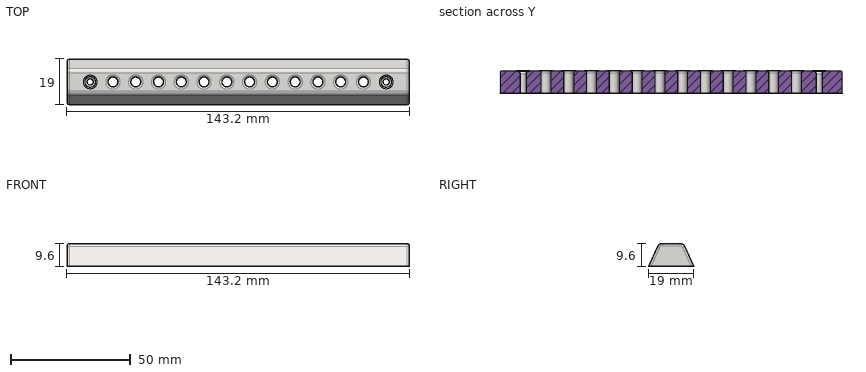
import cadquery as cq

length = 143.2
base_width = 19.0
height = 9.6
top_width = 10.3

top_edge_radius = 2.1
end_edge_radius = 1.0

hole_count = 14
hole_pitch = 9.53
hole_diameter = 4.0
rim_radius = 1.0

end_hole_diameter = 2.5
end_seat_diameter = end_hole_diameter + 2 * rim_radius
end_entry_diameter = 5.7
end_entry_depth = 0.36


def bar_body():
    """Trapezoidal bar with rounded top edges and rounded ends."""
    outline = [
        (-base_width / 2, 0),
        (base_width / 2, 0),
        (top_width / 2, height),
        (-top_width / 2, height),
    ]
    body = cq.Workplane("YZ").polyline(outline).close().extrude(length / 2, both=True)
    body = body.edges("|X and >Z").fillet(top_edge_radius)
    end_edges = body.faces("<X or >X").edges("not <Z")
    return end_edges.fillet(end_edge_radius)


def rimmed_hole(x, diameter, radius, rim_top):
    """Through-hole cutter whose wall rolls outward into a flat level at rim_top."""
    hole_radius = diameter / 2
    bend = radius * (1 - 0.5**0.5)
    profile = (
        cq.Workplane("XZ", origin=(x, 0, 0))
        .lineTo(hole_radius, 0)
        .lineTo(hole_radius, rim_top - radius)
        .threePointArc((hole_radius + bend, rim_top - bend), (hole_radius + radius, rim_top))
        .lineTo(0, rim_top)
        .close()
    )
    return profile.revolve(360, (0, 0, 0), (0, 1, 0))


def conical_entry(x):
    """Shallow cone cutter from the top face down to the rim of an end hole."""
    profile = (
        cq.Workplane("XZ", origin=(x, 0, 0))
        .moveTo(0, height)
        .lineTo(end_entry_diameter / 2, height)
        .lineTo(end_seat_diameter / 2, height - end_entry_depth)
        .lineTo(0, height - end_entry_depth)
        .close()
    )
    return profile.revolve(360, (0, 0, 0), (0, 1, 0))


result = bar_body()
for index in range(hole_count):
    x = (index - (hole_count - 1) / 2) * hole_pitch
    if index in (0, hole_count - 1):
        end_rim_top = height - end_entry_depth
        result = result.cut(rimmed_hole(x, end_hole_diameter, rim_radius, end_rim_top))
        result = result.cut(conical_entry(x))
    else:
        result = result.cut(rimmed_hole(x, hole_diameter, rim_radius, height))